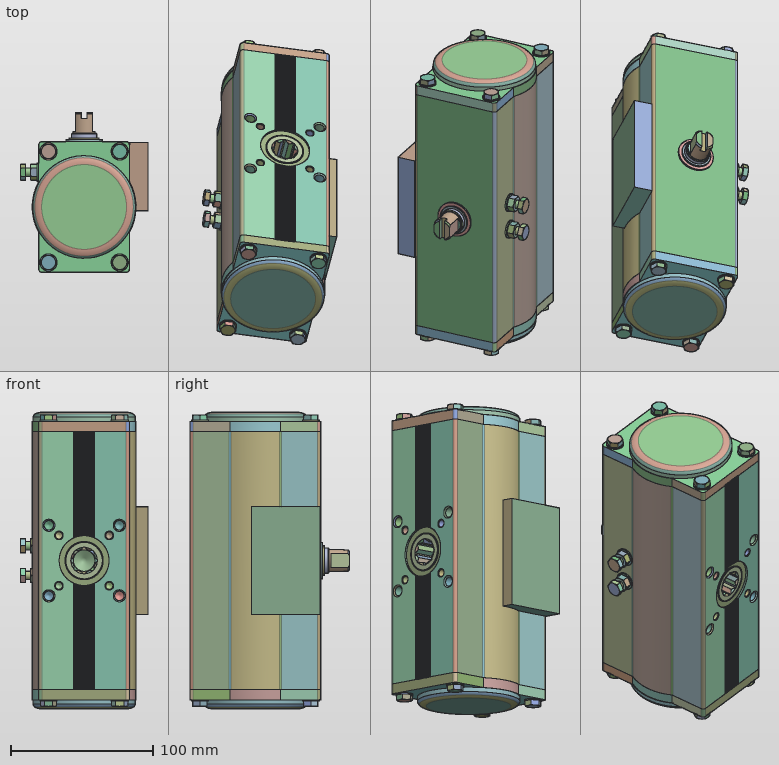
import cadquery as cq
import math


body_width = 63.7
body_depth = 91.9
corner_radius = 2.3
cylinder_radius = 36.5
blend_radius = 3.1
front_y = -body_depth / 2
back_y = body_depth / 2
side_x = body_width / 2

overall_height = 208.3
dome_height = 6.5
cap_flange_thickness = 7.0
flange_top_z = overall_height / 2 - dome_height
joint_z = flange_top_z - cap_flange_thickness

dome_radius = 36.0
crown_radius = 34.5
crown_drop = 1.2
dome_shoulder_drop = 3.3
dome_flat_radius = 29.8

hex_across_flats = 10.0
hex_corner_diameter = hex_across_flats / math.cos(math.pi / 6)
hex_top_chamfer = 0.5

cap_screw_x = 25
cap_screw_y = 39.0
cap_screw_head_height = 3.7
cap_washer_diameter = 12.0
cap_washer_thickness = 0.8

stop_screw_y = 24.4
stop_screw_z = 10.5
stop_screw_tip_x = -44.8
stop_head_length = 3.7
stop_shank_diameter = 6.0
stop_nut_length = 4.8
stop_washer_diameter = 13.0
stop_washer_thickness = 1.0

plate_outer_x = 45.0
plate_height = 75.8
plate_width = 48.1
plate_back_y = 45.5

large_bolt_circle = 70.0
large_hole_diameter = 6.7
large_hole_mouth = 8.5
large_hole_depth = 12.5
small_bolt_circle = 50
small_hole_diameter = 5.0
small_hole_mouth = 6.0
small_hole_depth = 10.5
drill_point_half_angle = math.radians(59)
recess_diameter = 35.0
recess_depth = 1.5

serration_count = 14
serration_pitch = 1.0
serration_depth = 0.8

shaft_projection = 20.2
shaft_tip_y = back_y + shaft_projection
journal_diameter = 26.9
journal_chamfer = 0.6
journal_length = 41.7
journal_front_y = front_y + recess_depth
shaft_diameter = 18.0
collar_projection = 5.8
collar_chamfer = 0.6
tip_diameter = 15.6
tip_length = shaft_projection - collar_projection
tip_chamfer = 1.0
tip_across_flats = 12.0
tip_flats_length = 13.1
tip_slot_width = 4.0
tip_slot_depth = 4.0
socket_across_flats = 14.0
socket_corner_diameter = 18.7
socket_depth = 16.7
socket_mouth_diameter = 18.5
socket_mouth_depth = 1.2

ring_diameter = 25.6
ring_base_thickness = 1.2
ring_step_diameter = 21.0
ring_thickness = 2.5


def y_cylinder(diameter, start_y, length):
    """Cylinder on the Y axis that grows toward +Y from start_y."""
    return cq.Workplane("XZ", origin=(0, start_y, 0)).circle(diameter / 2).extrude(-length)


def body_prism(bottom_z, height):
    """Rounded block and round barrel that cross on the cylinder axis."""
    block = (
        cq.Workplane("XY", origin=(0, 0, bottom_z))
        .rect(body_width, body_depth)
        .extrude(height)
        .edges("|Z")
        .fillet(corner_radius)
    )
    barrel = cq.Workplane("XY", origin=(0, 0, bottom_z)).circle(cylinder_radius).extrude(height)
    return block, barrel


def hexagon(height):
    """Hexagon prism on Z with corners on X and a chamfered top."""
    prism = cq.Workplane("XY").polygon(6, hex_corner_diameter).extrude(height)
    rounding = (
        cq.Workplane("XY")
        .circle(hex_corner_diameter / 2)
        .extrude(height)
        .faces(">Z")
        .chamfer(hex_top_chamfer, (hex_corner_diameter - hex_across_flats) / 2)
    )
    return prism.intersect(rounding)


def drilled_hole(diameter, mouth_diameter, depth):
    """Revolved cutter on Z: countersunk mouth at z = 0, drill point below."""
    radius = diameter / 2
    mouth_radius = mouth_diameter / 2
    point_depth = radius / math.tan(drill_point_half_angle)
    return (
        cq.Workplane("XZ")
        .moveTo(0, 0)
        .lineTo(mouth_radius, 0)
        .lineTo(radius, radius - mouth_radius)
        .lineTo(radius, -depth)
        .lineTo(0, -depth - point_depth)
        .close()
        .revolve(360, (0, 0), (0, 1))
    )


def mounting_holes(bolt_circle, diameter, mouth_diameter, depth):
    """Four drilled holes in the mounting face on the diagonals of a bolt circle."""
    cutter = drilled_hole(diameter, mouth_diameter, depth).rotate((0, 0, 0), (1, 0, 0), 90)
    cutter = cutter.translate((0, front_y, bolt_circle / 2))
    holes = cq.Workplane("XY")
    for angle in (45, 135, 225, 315):
        holes = holes.add(cutter.rotate((0, 0, 0), (0, 1, 0), angle))
    return holes.combine()


def serrations():
    """Row of V-grooves along the full housing length."""
    strip_start = -serration_count * serration_pitch / 2
    outline = cq.Workplane("XY", origin=(0, 0, -joint_z)).moveTo(strip_start, front_y)
    for groove in range(serration_count):
        groove_start = strip_start + groove * serration_pitch
        outline = outline.lineTo(groove_start + serration_pitch / 2, front_y + serration_depth)
        outline = outline.lineTo(groove_start + serration_pitch, front_y)
    outline = outline.lineTo(-strip_start, front_y - serration_depth)
    outline = outline.lineTo(strip_start, front_y - serration_depth)
    return outline.close().extrude(2 * joint_z)


def stop_screw_seats():
    """Flat seats that clear the barrel blend under the stop screw washers."""
    return (
        cq.Workplane("YZ", origin=(-side_x, stop_screw_y, 0))
        .pushPoints([(0, -stop_screw_z), (0, stop_screw_z)])
        .circle(stop_washer_diameter / 2)
        .extrude(-stop_washer_thickness)
    )


def make_housing():
    block, barrel = body_prism(-joint_z, 2 * joint_z)
    body = block.union(barrel)
    junction_y = math.sqrt(cylinder_radius**2 - side_x**2)
    for x in (-side_x, side_x):
        for y in (-junction_y, junction_y):
            body = body.edges(cq.selectors.NearestToPointSelector((x, y, 0))).fillet(blend_radius)
    recess = y_cylinder(recess_diameter, front_y, recess_depth)
    journal_bore = y_cylinder(journal_diameter, front_y, recess_depth + journal_length)
    shaft_bore = y_cylinder(shaft_diameter, front_y, body_depth)
    body = body.cut(serrations()).cut(recess).cut(journal_bore).cut(shaft_bore)
    body = body.cut(
        mounting_holes(large_bolt_circle, large_hole_diameter, large_hole_mouth, large_hole_depth)
    )
    body = body.cut(
        mounting_holes(small_bolt_circle, small_hole_diameter, small_hole_mouth, small_hole_depth)
    )
    return body.cut(stop_screw_seats())


def make_cap():
    """Upper end cap with its dome and four screw heads."""
    block, barrel = body_prism(joint_z, cap_flange_thickness)
    top_z = overall_height / 2
    shoulder_z = top_z - dome_shoulder_drop
    crown_z = top_z - crown_drop
    bulge_point = ((crown_radius + 2 * dome_radius) / 3, (crown_z + shoulder_z) / 2)
    dome = (
        cq.Workplane("XZ")
        .moveTo(0, joint_z)
        .lineTo(0, top_z)
        .lineTo(dome_flat_radius, top_z)
        .tangentArcPoint((crown_radius, crown_z), relative=False)
        .threePointArc(bulge_point, (dome_radius, shoulder_z))
        .lineTo(dome_radius, joint_z)
        .close()
        .revolve(360, (0, 0), (0, 1))
    )
    cap = block.union(barrel).union(dome)
    washer = cq.Workplane("XY").circle(cap_washer_diameter / 2).extrude(cap_washer_thickness)
    head = hexagon(cap_screw_head_height).translate((0, 0, cap_washer_thickness))
    screw = washer.union(head)
    for x in (-cap_screw_x, cap_screw_x):
        for y in (-cap_screw_y, cap_screw_y):
            cap = cap.union(screw.translate((x, y, flange_top_z)))
    return cap


def make_shaft():
    journal = y_cylinder(journal_diameter, journal_front_y, journal_length)
    journal = journal.faces("<Y").chamfer(journal_chamfer)
    collar_end_y = back_y + collar_projection
    stem = y_cylinder(shaft_diameter, journal_front_y, collar_end_y - journal_front_y)
    stem = stem.faces(">Y").chamfer(collar_chamfer)
    tip = y_cylinder(tip_diameter, collar_end_y, tip_length)
    tip = tip.faces(">Y").chamfer(tip_chamfer)
    flat_cutter = cq.Workplane("XY").box(tip_diameter, 2 * tip_flats_length, tip_diameter)
    flat_cutter = flat_cutter.cut(
        cq.Workplane("XY").box(tip_across_flats, 2 * tip_flats_length, tip_diameter)
    ).translate((0, shaft_tip_y, 0))
    slot = cq.Workplane("XY", origin=(0, shaft_tip_y, 0)).box(
        tip_slot_width, 2 * tip_slot_depth, tip_diameter
    )
    tip = tip.cut(flat_cutter).cut(slot)
    return journal.union(stem).union(tip).cut(drive_socket())


def drive_socket():
    """Eight-point star socket with a drill point, open at the journal face."""
    face = cq.Workplane("XZ", origin=(0, journal_front_y, 0))
    square = face.rect(socket_across_flats, socket_across_flats).extrude(-socket_depth)
    star = square.union(square.rotate((0, 0, 0), (0, 1, 0), 45))
    star = star.intersect(y_cylinder(socket_corner_diameter, journal_front_y, socket_depth))
    point_radius = socket_across_flats / 2 / math.cos(math.pi / 8)
    point_length = point_radius / math.tan(drill_point_half_angle)
    point = cq.Solid.makeCone(
        point_radius,
        0,
        point_length,
        cq.Vector(0, journal_front_y + socket_depth, 0),
        cq.Vector(0, 1, 0),
    )
    mouth = cq.Solid.makeCone(
        socket_mouth_diameter / 2,
        socket_mouth_diameter / 2 - socket_mouth_depth,
        socket_mouth_depth,
        cq.Vector(0, journal_front_y, 0),
        cq.Vector(0, 1, 0),
    )
    return star.union(cq.Workplane(point)).union(cq.Workplane(mouth))


def make_thrust_ring():
    base = y_cylinder(ring_diameter, back_y, ring_base_thickness)
    step = y_cylinder(ring_step_diameter, back_y, ring_thickness)
    return base.union(step).cut(y_cylinder(shaft_diameter, back_y, ring_thickness))


def make_side_plate(housing):
    """Plate on the +X side, shaped to the barrel behind it."""
    plate = (
        cq.Workplane("XY")
        .box(plate_outer_x - side_x, plate_width, plate_height, centered=(False, False, True))
        .translate((side_x, plate_back_y - plate_width, 0))
    )
    return plate.cut(housing)


def make_stop_screw():
    """Stop screw with lock nut and washer, modelled on Z with the washer at z = 0."""
    length = -side_x - stop_screw_tip_x
    washer = cq.Workplane("XY").circle(stop_washer_diameter / 2).extrude(stop_washer_thickness)
    shank = cq.Workplane("XY").circle(stop_shank_diameter / 2).extrude(length)
    nut = hexagon(stop_nut_length).translate((0, 0, stop_washer_thickness))
    head = hexagon(stop_head_length).translate((0, 0, length - stop_head_length))
    screw = washer.union(shank).union(nut).union(head)
    screw = screw.rotate((0, 0, 0), (0, 0, 1), 90).rotate((0, 0, 0), (0, 1, 0), -90)
    return screw.translate((-side_x, stop_screw_y, 0))


housing = make_housing()
upper_cap = make_cap()
end_caps = [upper_cap, upper_cap.mirror("XY")]
shaft = make_shaft()
thrust_ring = make_thrust_ring()
side_plate = make_side_plate(housing)
stop_screw = make_stop_screw()
stop_screws = [stop_screw.translate((0, 0, z)) for z in (-stop_screw_z, stop_screw_z)]

result = cq.Compound.makeCompound(
    [
        housing.val(),
        *[cap.val() for cap in end_caps],
        shaft.val(),
        thrust_ring.val(),
        side_plate.val(),
        *[screw.val() for screw in stop_screws],
    ]
)